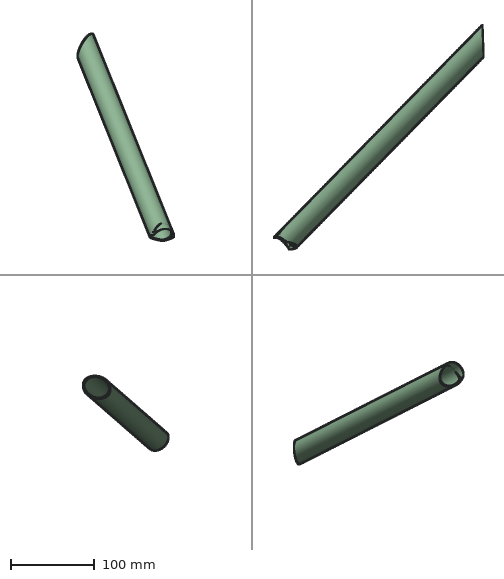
import cadquery as cq
import math

outer_diameter = 28.0
wall = 1.5
outer_radius = outer_diameter / 2
inner_radius = outer_radius - wall

left_mitre_normal = cq.Vector(-1, -1, 0)

joint_x = 366.36
bend_direction = 63.0
bend_angle = 7.7
next_tube = (bend_direction, bend_angle)
end_mitre = (bend_direction, bend_angle / 2)
square_branch = (235.5, 90.0)
inclined_branch = (268.3, 71.0)

cut_size = 60.0

joint = cq.Vector(joint_x, 0, 0)


def unit_vector(angles):
    """Unit vector from its angle around X and its angle away from +X."""
    around_x = math.radians(angles[0])
    from_x = math.radians(angles[1])
    radial = math.sin(from_x)
    return cq.Vector(math.cos(from_x), radial * math.cos(around_x), radial * math.sin(around_x))


def blank_tube():
    """Straight tube, reaching past the joint."""
    ring = cq.Workplane("YZ").circle(outer_radius).circle(inner_radius)
    return ring.extrude(joint_x + outer_radius)


def beyond_plane(point, normal):
    """Block on the far side of a plane."""
    plane = cq.Plane(origin=point, normal=normal)
    return cq.Workplane(plane).rect(2 * cut_size, 2 * cut_size).extrude(cut_size)


def neighbour_tube(angles, reach_back=0.0):
    """Solid cylinder of a neighbouring tube, starting at the joint or further back."""
    axis = unit_vector(angles)
    start = joint - axis * reach_back
    return cq.Workplane(cq.Solid.makeCylinder(outer_radius, reach_back + cut_size, start, axis))


def end_relief():
    """Hollow inside the right end, where the next tube and the square branch overlap."""
    next_solid = neighbour_tube(next_tube, cut_size)
    return next_solid.intersect(neighbour_tube(square_branch, cut_size))


left_end = cq.Vector(outer_radius, 0, 0)
tube = blank_tube().cut(beyond_plane(left_end, left_mitre_normal))
tube = tube.cut(beyond_plane(joint, unit_vector(end_mitre)))
for branch in (square_branch, inclined_branch):
    tube = tube.cut(neighbour_tube(branch))

result = tube.cut(end_relief())